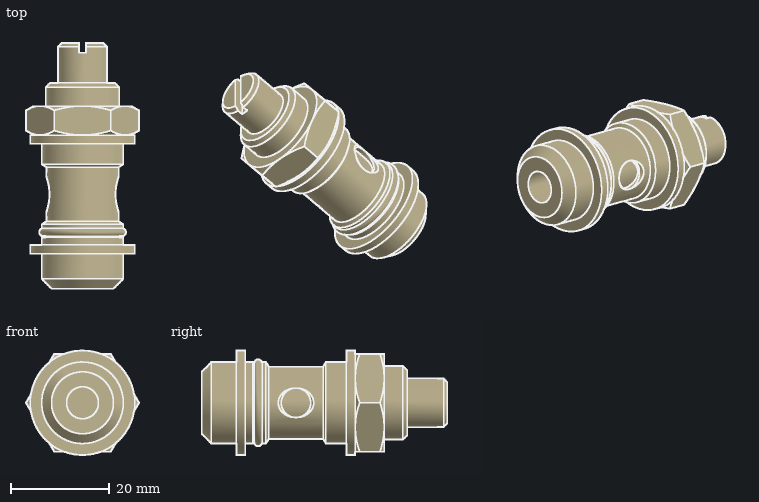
import cadquery as cq
import math

total_length = 50.2

land_radius = 8.35
nose_chamfer = 2.0
bore_radius = 3.25
bore_depth = 10.05

collar_radius = 10.7
collar_width = 1.8
front_collar_y = 7.15
rear_collar_y = 29.55

ring_section_radius = 0.8
ring_outer_radius = 8.9
ring_y = 11.55
groove_start_y = 10.5
groove_end_y = ring_y + ring_section_radius
groove_radius = 7.6

neck_diameter = 14.8
neck_radius = neck_diameter / 2
neck_start_y = 13.75
neck_end_y = 24.8
land_chamfer_length = 0.6

pocket_radius = 3.0
pocket_y = 19.25
pocket_floor_radius = 6.25
countersink_radius = 3.6

hex_across_corners = 23.1
hex_start_y = rear_collar_y + collar_width
hex_end_y = 37.3
hex_across_flats = hex_across_corners * math.sqrt(3) / 2
hex_bevel_angle = 30.0
hex_face_radius = hex_across_flats / 2

shoulder_radius = 7.55
shoulder_end_y = 42.0
shoulder_chamfer = 0.9
stem_radius = 5.0
stem_chamfer = 0.8
slot_width = 1.4
slot_depth = 2.0


def cylinder(radius, start_y, end_y):
    """Solid cylinder on the Y axis between two stations."""
    return cq.Workplane("XZ", origin=(0, start_y, 0)).circle(radius).extrude(start_y - end_y)


def make_turned_blank():
    """Revolved profile of the nose, lands, groove, neck, shoulder and stem."""
    profile = [
        (0, 0),
        (land_radius - nose_chamfer, 0),
        (land_radius, nose_chamfer),
        (land_radius, groove_start_y),
        (groove_radius, groove_start_y),
        (groove_radius, groove_end_y),
        (land_radius, groove_end_y),
        (land_radius, neck_start_y - land_chamfer_length),
        (neck_radius, neck_start_y),
        (neck_radius, neck_end_y),
        (land_radius, neck_end_y + land_chamfer_length),
        (land_radius, hex_start_y),
        (shoulder_radius, hex_start_y),
        (shoulder_radius, shoulder_end_y - shoulder_chamfer),
        (shoulder_radius - shoulder_chamfer, shoulder_end_y),
        (stem_radius, shoulder_end_y),
        (stem_radius, total_length - stem_chamfer),
        (stem_radius - stem_chamfer, total_length),
        (0, total_length),
    ]
    return cq.Workplane("XY").polyline(profile).close().revolve(360, (0, 0, 0), (0, 1, 0))


def make_hexagon():
    """Hexagon with corners on X, bevelled by cones on both faces."""
    prism = (
        cq.Workplane("XZ", origin=(0, hex_start_y, 0))
        .polygon(6, hex_across_corners)
        .extrude(hex_start_y - hex_end_y)
    )
    corner_radius = hex_across_corners / 2
    bevel_length = (corner_radius - hex_face_radius) * math.tan(math.radians(hex_bevel_angle))
    envelope = (
        cq.Workplane("XY")
        .polyline([
            (0, hex_start_y),
            (hex_face_radius, hex_start_y),
            (corner_radius, hex_start_y + bevel_length),
            (corner_radius, hex_end_y - bevel_length),
            (hex_face_radius, hex_end_y),
            (0, hex_end_y),
        ])
        .close()
        .revolve(360, (0, 0, 0), (0, 1, 0))
    )
    return prism.intersect(envelope)


def make_pocket(side):
    """Countersunk round pocket on the +X or -X side, ending on a floor concentric with the neck."""
    cone_x = math.sqrt(neck_radius**2 - pocket_radius**2)
    tool = (
        cq.Workplane("XY")
        .polyline([
            (0, pocket_y),
            (0, pocket_y + pocket_radius),
            (side * cone_x, pocket_y + pocket_radius),
            (side * neck_radius, pocket_y + countersink_radius),
            (side * neck_radius, pocket_y),
        ])
        .close()
        .revolve(360, (0, pocket_y, 0), (1, pocket_y, 0))
    )
    return tool.cut(cylinder(pocket_floor_radius, neck_start_y, neck_end_y))


def make_slot():
    """Screwdriver slot across the stem end, running along Z."""
    return cq.Workplane("XY").box(slot_width, 2 * slot_depth, 2 * stem_radius).translate((0, total_length, 0))


def make_valve_body():
    body = make_turned_blank().union(make_hexagon())
    for collar_y in (front_collar_y, rear_collar_y):
        body = body.union(cylinder(collar_radius, collar_y, collar_y + collar_width))
    for side in (-1, 1):
        body = body.cut(make_pocket(side))
    return body.cut(cylinder(bore_radius, 0, bore_depth)).cut(make_slot())


def make_sealing_ring():
    """Round-section ring flattened where it seats on the groove floor."""
    section_centre = ring_outer_radius - ring_section_radius
    ring = (
        cq.Workplane("XY")
        .center(section_centre, ring_y)
        .circle(ring_section_radius)
        .revolve(360, (-section_centre, 0, 0), (-section_centre, 1, 0))
    )
    return ring.cut(cylinder(groove_radius, groove_start_y, groove_end_y))


valve_body = make_valve_body()
sealing_ring = make_sealing_ring()

result = cq.Compound.makeCompound([valve_body.solids().val(), sealing_ring.val()])